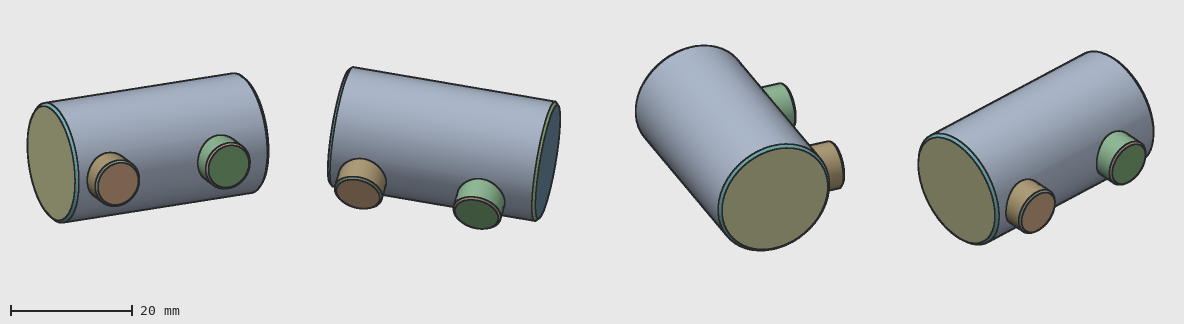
import cadquery as cq

body_length = 35.0
body_diameter = 20.0
body_chamfer = 0.5

peg_diameter = 8.0
peg_standout = 3.5
peg_reach = body_diameter / 2 + peg_standout
peg_chamfer = 0.35
front_peg_inset = 6.0
peg_spacing = 20.0
peg_count = 2


def make_body():
    """Solid cylinder centred on the origin, with both end edges chamfered."""
    return (
        cq.Workplane("XZ", origin=(0, body_length / 2, 0))
        .circle(body_diameter / 2)
        .extrude(body_length)
        .faces("<Y or >Y")
        .chamfer(body_chamfer)
    )


def make_peg(y):
    """Peg from the body axis outward along +X, with a chamfered tip."""
    return (
        cq.Workplane("YZ")
        .center(y, 0)
        .circle(peg_diameter / 2)
        .extrude(peg_reach)
        .faces(">X")
        .chamfer(peg_chamfer)
    )


result = make_body()
for index in range(peg_count):
    peg_y = -body_length / 2 + front_peg_inset + index * peg_spacing
    result = result.union(make_peg(peg_y))